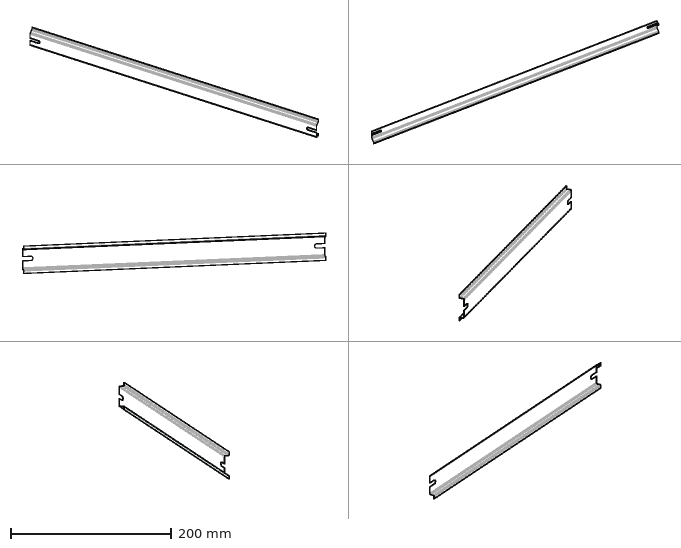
import cadquery as cq

length = 385.0
depth = 7.5
height = 35.0
thickness = 1.0
channel_height = 27.0
inner_radius = 0.8
outer_radius = inner_radius + thickness

slot_width = 5.5
slot_length = 13.0

front = -depth / 2
back = depth / 2


def box_between(y_min, y_max, z_size):
    """Full-length bar between two depths, centred in height."""
    bar = cq.Workplane("XY").box(length, y_max - y_min, z_size)
    return bar.translate((0, (y_min + y_max) / 2, 0))


def make_rail():
    """Bent sheet: web at the front, side walls, and flanges at the back."""
    channel = box_between(front, back, channel_height)
    channel = channel.edges("|X and <Y").fillet(outer_radius)

    flanges = box_between(back - thickness, back, height)
    solid_hat = channel.union(flanges)
    flange_corners = cq.selectors.BoxSelector(
        (-length, back - 1.5 * thickness, -channel_height / 2 - thickness / 2),
        (length, back - thickness / 2, channel_height / 2 + thickness / 2),
    )
    solid_hat = solid_hat.edges("|X").edges(flange_corners).fillet(inner_radius)

    hollow_height = channel_height - 2 * thickness
    hollow = box_between(front + thickness, back, hollow_height)
    hollow = hollow.edges("|X and <Y").fillet(inner_radius)
    rail = solid_hat.cut(hollow)
    mouth_edges = cq.selectors.BoxSelector(
        (-length, back - thickness / 2, -channel_height / 2),
        (length, back + thickness / 2, channel_height / 2),
    )
    return rail.edges("|X").edges(mouth_edges).fillet(outer_radius)


def make_slot(side):
    """Round-ended cutter for one end; side is -1 or +1 along X."""
    return (
        cq.Workplane("XZ")
        .center(side * length / 2, 0)
        .slot2D(2 * slot_length, slot_width)
        .extrude(depth, both=True)
    )


result = make_rail()
for side in (-1, 1):
    result = result.cut(make_slot(side))